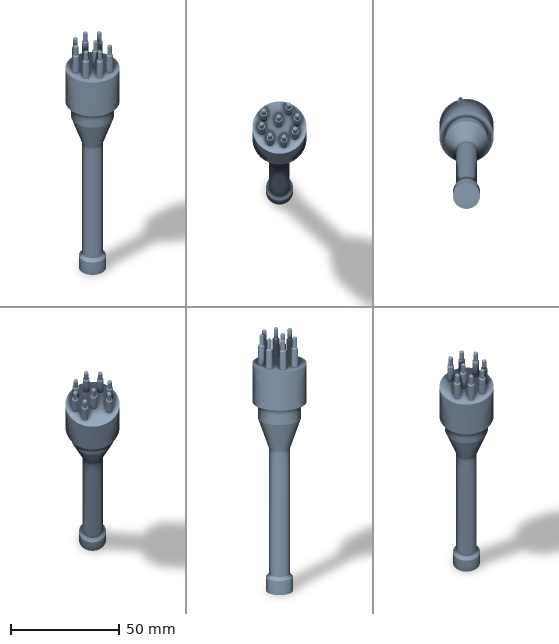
import cadquery as cq
import math

total_height = 126.5
collar_height = 8.5
cone_bottom = 69.8
cone_top = 85.0
head_bottom = 93.0
head_top = 112.0
pin_shoulder = 121.5

collar_radius = 12.5 / 2
shaft_radius = 9.5 / 2
neck_radius = 20.0 / 2
head_radius = 25.0 / 2
pin_radius = 3.0 / 2
tip_radius = 2.0 / 2

tip_bevel = 0.5
pin_circle_radius = 8.5
pin_pitch_angle = 45
top_position_angle = 90
inner_pin_offset = 1.5


def revolve_profile(points):
    """Turn a closed (radius, height) outline about the Z axis."""
    return cq.Workplane("XZ").polyline(points).close().revolve(360, (0, 0), (0, 1))


def make_body():
    """Collar, shaft, cone, neck and head, stacked from the bottom up."""
    bevel_bottom = collar_height - (collar_radius - shaft_radius)
    return revolve_profile([
        (0, 0),
        (collar_radius, 0),
        (collar_radius, bevel_bottom),
        (shaft_radius, collar_height),
        (shaft_radius, cone_bottom),
        (neck_radius, cone_top),
        (neck_radius, head_bottom),
        (head_radius, head_bottom),
        (head_radius, head_top),
        (0, head_top),
    ])


def make_pin():
    """Contact pin with a 45 degree shoulder and a bevelled thin tip."""
    shoulder_bottom = pin_shoulder - (pin_radius - tip_radius)
    return revolve_profile([
        (0, head_top),
        (pin_radius, head_top),
        (pin_radius, shoulder_bottom),
        (tip_radius, pin_shoulder),
        (tip_radius, total_height - tip_bevel),
        (tip_radius - tip_bevel, total_height),
        (0, total_height),
    ])


def pin_positions():
    """Seven pins on a circle; the eighth, at the +Y place, sits near the centre."""
    positions = [(0, inner_pin_offset)]
    for angle in range(0, 360, pin_pitch_angle):
        if angle != top_position_angle:
            x = pin_circle_radius * math.cos(math.radians(angle))
            y = pin_circle_radius * math.sin(math.radians(angle))
            positions.append((x, y))
    return positions


result = make_body()
pin = make_pin()
for x, y in pin_positions():
    result = result.union(pin.translate((x, y, 0)))